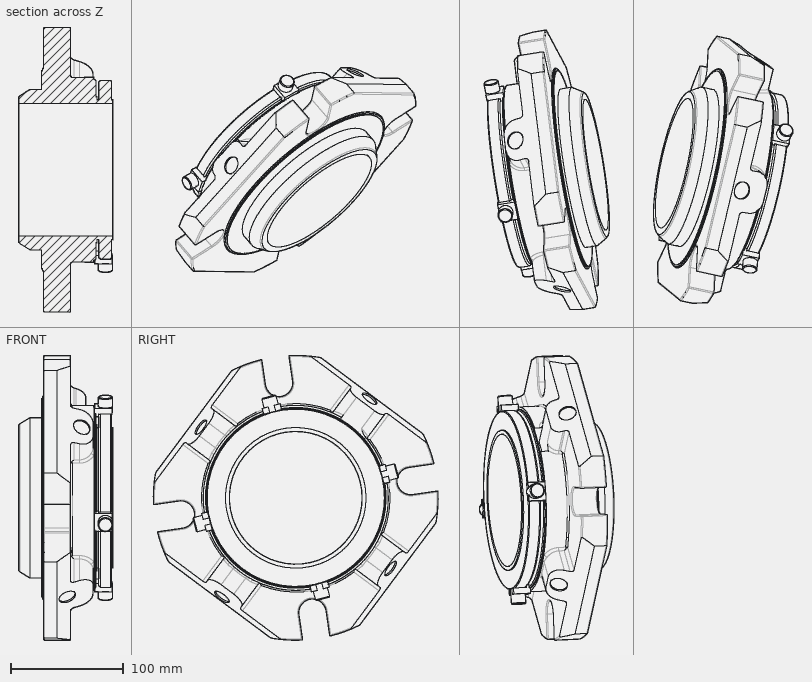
import cadquery as cq
import math

seat_taper_end = 10.0
pilot_front = 20.1
pilot_step = 20.9
plate_front = 22.0
plate_back = 46.1
draft_start = 33.8
hub_end = 66.7
cover_end = 68.6
collar_end = 69.6
drive_ring_front = 70.9
drive_ring_back = 82.3
total_length = 83.46

bore_diameter = 117.47
seat_face_diameter = 131.75
seat_diameter = 142.49
pilot_face_diameter = 176.0
pilot_diameter = 180.6
plate_diameter = 252.72
plate_bore_diameter = 150.0
hub_diameter = 164.2
cover_diameter = 160.27
drive_ring_diameter = 158.75
collar_diameter = 130.0
sleeve_diameter = 124.66

seat_edge_chamfer = 1.2
pilot_chamfer = 0.8
cover_chamfer = 0.9
drive_ring_front_chamfer = 1.5
drive_ring_back_chamfer = 0.8
plate_edge_fillet = 1.1
slot_mouth_fillet = 0.9

quarter_turn = 90.0
slot_angle = 8.3
flat_angle = slot_angle + quarter_turn / 2
slot_width = 24.1
slot_bottom_radius = 90.9
flat_distance = 113.0
draft_angle = 20.0

lug_width = 38.0
lug_start = 25.0
lug_root_radius = 75.0
lug_foot_fillet = 3.0
lug_hub_fillet = 2.5
hub_root_fillet = 1.5
port_diameter = 15.5
port_depth = 1.5
low_port_x = 43.1
high_port_x = 56.0
tall_lug = (65.9, 12.0)
short_lug = (59.6, 9.0)
lug_layout = [
    (0, tall_lug, high_port_x),
    (1, tall_lug, low_port_x),
    (2, tall_lug, high_port_x),
    (3, short_lug, low_port_x),
]

notch_turn = 3
notch_width = 27.5
notch_offset = 3.7
notch_floor_radius = 63.0

clip_angle = 15.0
clip_width = 16.5
clip_front = 67.4
clip_back = 82.8
clip_top_radius = 84.2
clip_hook_radius = 76.6
clip_embed = 0.5
screw_x = 76.9
screw_diameter = 13.0
screw_top_radius = 92.8
screw_chamfer = 0.8

tolerance = 0.01


def turned(points):
    """Solid of revolution about X from (x, radius) points."""
    return cq.Workplane("XY").polyline(points).close().revolve(360, (0, 0, 0), (1, 0, 0))


def axis_distance(point):
    return math.hypot(point.y, point.z)


def around_axis(shape, angle):
    """Turn a shape about X, from the top (+Z) toward -Y."""
    return shape.rotate((0, 0, 0), (1, 0, 0), angle)


def box(x_range, y_range, z_range):
    size = [high - low for low, high in (x_range, y_range, z_range)]
    return cq.Workplane("XY").box(*size, centered=False).translate((x_range[0], y_range[0], z_range[0]))


class OutsidePilot(cq.Selector):
    """Edges lying beyond the pilot diameter."""

    def filter(self, edges):
        return [edge for edge in edges if axis_distance(edge.startPoint()) > pilot_diameter / 2]


class SlotMouth(cq.Selector):
    """Edges where the slot sides meet the plate rim."""

    def filter(self, edges):
        rim = plate_diameter / 2
        return [edge for edge in edges if abs(axis_distance(edge.Center()) - rim) < tolerance]


class LugHubEdges(cq.Selector):
    """Edges where a lug side meets the hub surface."""

    def filter(self, edges):
        hub_radius = hub_diameter / 2
        chosen = []
        for edge in edges:
            ends = (edge.startPoint(), edge.endPoint())
            on_hub = all(abs(axis_distance(end) - hub_radius) < tolerance for end in ends)
            low, high = sorted(end.x for end in ends)
            is_lug_side = high - low > tolerance and high < hub_end - tolerance
            if on_hub and is_lug_side:
                chosen.append(edge)
        return chosen


def make_core():
    """Seat ring, pilot, hub, cover, sleeve and drive ring in one turned profile."""
    bore = bore_diameter / 2
    seat_face = seat_face_diameter / 2
    seat = seat_diameter / 2
    pilot = pilot_diameter / 2
    pilot_face = pilot_face_diameter / 2
    hub = hub_diameter / 2
    cover = cover_diameter / 2
    ring = drive_ring_diameter / 2
    collar = collar_diameter / 2
    sleeve = sleeve_diameter / 2
    return turned([
        (0, bore),
        (0, seat_face - seat_edge_chamfer),
        (seat_edge_chamfer, seat_face),
        (seat_taper_end, seat),
        (pilot_front, seat),
        (pilot_front, pilot_face),
        (pilot_step, pilot_face),
        (pilot_step, pilot - pilot_chamfer),
        (pilot_step + pilot_chamfer, pilot),
        (plate_front, pilot),
        (plate_front, hub),
        (hub_end, hub),
        (hub_end, cover),
        (cover_end - cover_chamfer, cover),
        (cover_end, cover - cover_chamfer),
        (cover_end, collar),
        (collar_end, collar),
        (collar_end, sleeve),
        (drive_ring_front, sleeve),
        (drive_ring_front, ring - drive_ring_front_chamfer),
        (drive_ring_front + drive_ring_front_chamfer, ring),
        (drive_ring_back - drive_ring_back_chamfer, ring),
        (drive_ring_back, ring - drive_ring_back_chamfer),
        (drive_ring_back, sleeve),
        (total_length, sleeve),
        (total_length, bore),
    ])


def make_hub_root():
    """Concave ring that rounds the corner between hub and plate."""
    hub = hub_diameter / 2
    fillet = hub_root_fillet
    arc_offset = fillet * (1 - math.sqrt(0.5))
    return (
        cq.Workplane("XY")
        .moveTo(plate_back - fillet, hub - fillet)
        .lineTo(plate_back + fillet, hub - fillet)
        .lineTo(plate_back + fillet, hub)
        .threePointArc((plate_back + arc_offset, hub + arc_offset), (plate_back, hub + fillet))
        .lineTo(plate_back - fillet, hub + fillet)
        .close()
        .revolve(360, (0, 0, 0), (1, 0, 0))
    )


def slot_cutter():
    """Round-bottomed slot, open outward."""
    half = slot_width / 2
    length = plate_diameter / 2
    return (
        cq.Workplane("YZ", origin=(plate_front, 0, 0))
        .moveTo(-half, length)
        .lineTo(-half, slot_bottom_radius + half)
        .threePointArc((0, slot_bottom_radius), (half, slot_bottom_radius + half))
        .lineTo(half, length)
        .close()
        .extrude(plate_back - plate_front)
    )


def flat_cutter():
    """Everything outside one flat: straight first, then drafted inward toward +X."""
    outside = plate_diameter
    draft_drop = (total_length - draft_start) * math.tan(math.radians(draft_angle))
    return (
        cq.Workplane("XZ")
        .polyline([
            (0, flat_distance),
            (draft_start, flat_distance),
            (total_length, flat_distance - draft_drop),
            (total_length, outside),
            (0, outside),
        ])
        .close()
        .extrude(plate_diameter / 2, both=True)
    )


def lug_prism(profile):
    """Extrude a closed half profile outward from the lug root, mirrored about the lug's middle."""
    half = profile.close().extrude(flat_distance - lug_root_radius)
    return half.mirror("XZ", union=True).clean().cut(flat_cutter())


def make_lug(height, corner_radius):
    """Radial block with rounded shoulders, sunk into the plate."""
    half = lug_width / 2
    shoulder_x = height - corner_radius
    shoulder_y = half - corner_radius
    arc_reach = corner_radius * math.sqrt(0.5)
    return lug_prism(
        cq.Workplane("XY", origin=(0, 0, lug_root_radius))
        .moveTo(lug_start, 0)
        .lineTo(lug_start, half)
        .lineTo(shoulder_x, half)
        .threePointArc((shoulder_x + arc_reach, shoulder_y + arc_reach), (height, shoulder_y))
        .lineTo(height, 0)
    )


def make_lug_foot():
    """Concave flare that rounds the corners between the lug sides and the plate."""
    half = lug_width / 2
    foot = lug_foot_fillet
    arc_offset = foot * (1 - math.sqrt(0.5))
    return lug_prism(
        cq.Workplane("XY", origin=(0, 0, lug_root_radius))
        .moveTo(lug_start, 0)
        .lineTo(lug_start, half + foot)
        .lineTo(plate_back, half + foot)
        .threePointArc((plate_back + arc_offset, half + arc_offset), (plate_back + foot, half))
        .lineTo(plate_back + foot, 0)
    )


def make_plate():
    """Slotted disc with rounded edges and four drafted flats."""
    plate = (
        cq.Workplane("YZ", origin=(plate_front, 0, 0))
        .circle(plate_diameter / 2)
        .circle(plate_bore_diameter / 2)
        .extrude(plate_back - plate_front)
    )
    for turn in range(4):
        plate = plate.cut(around_axis(slot_cutter(), slot_angle + turn * quarter_turn))
    plate = plate.edges("|X").edges(SlotMouth()).fillet(slot_mouth_fillet)
    plate = plate.faces(">X").edges(OutsidePilot()).fillet(plate_edge_fillet)
    for turn in range(4):
        plate = plate.cut(around_axis(flat_cutter(), flat_angle + turn * quarter_turn))
    return plate.faces("<X").edges(OutsidePilot()).fillet(plate_edge_fillet)


def port_cutter(port_x):
    """Shallow round recess square to the drafted face."""
    slope = math.radians(draft_angle)
    face_distance = flat_distance - max(port_x - draft_start, 0) * math.tan(slope)
    normal = (math.sin(slope), 0, math.cos(slope))
    return (
        cq.Workplane(cq.Plane((port_x, 0, face_distance), (0, 1, 0), normal))
        .circle(port_diameter / 2)
        .extrude(port_depth, both=True)
    )


def make_clip():
    """Clip plate with a hook into the gap ahead of the drive ring, and its screw head."""
    half = clip_width / 2
    seat_radius = drive_ring_diameter / 2 - clip_embed
    plate = box((clip_front, clip_back), (-half, half), (seat_radius, clip_top_radius))
    hook = box((cover_end, drive_ring_front), (-half, half), (clip_hook_radius, clip_top_radius))
    screw = (
        cq.Workplane("XY", origin=(screw_x, 0, seat_radius))
        .circle(screw_diameter / 2)
        .extrude(screw_top_radius - seat_radius)
        .faces(">Z")
        .chamfer(screw_chamfer)
    )
    return plate.union(hook).union(screw)


def make_notch():
    half = notch_width / 2
    notch_front = short_lug[0]
    return box(
        (notch_front, hub_end),
        (notch_offset - half, notch_offset + half),
        (notch_floor_radius, hub_diameter),
    )


def join_lugs(body):
    """Add the four lugs and round the corners between their sides and the hub."""
    for turn, profile, _ in lug_layout:
        body = body.union(around_axis(make_lug(*profile), flat_angle + turn * quarter_turn))
    body = body.edges(LugHubEdges()).fillet(lug_hub_fillet)
    for turn in range(4):
        body = body.union(around_axis(make_lug_foot(), flat_angle + turn * quarter_turn))
    return body


result = join_lugs(make_core()).union(make_plate()).union(make_hub_root())
for turn, _, port_x in lug_layout:
    angle = flat_angle + turn * quarter_turn
    result = result.cut(around_axis(port_cutter(port_x), angle))
result = result.cut(around_axis(make_notch(), flat_angle + notch_turn * quarter_turn))
for turn in range(4):
    result = result.union(around_axis(make_clip(), clip_angle + turn * quarter_turn))